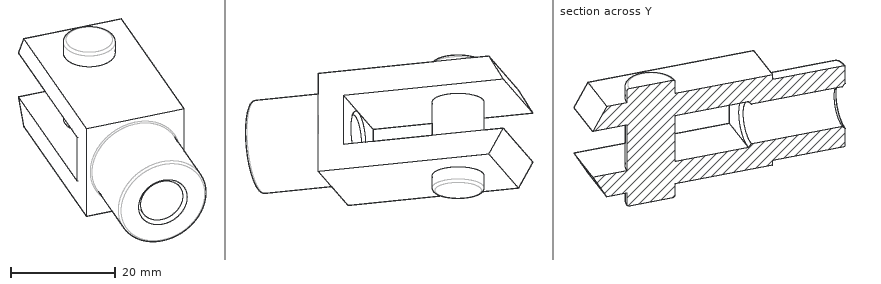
import cadquery as cq
import math

total_length = 52.0
fork_length = 37.0
fork_width = 20.0
slot_height = 10.0
slot_depth = 32.0
tip_angle = 30.0

shank_diameter = 18.0
shank_end_fillet = 0.4
shank_root_fillet = 0.25

bore_diameter = 8.7
bore_mouth_diameter = slot_height

pin_diameter = 10.0
pin_length = 26.0
pin_x = 12.0
pin_end_fillet = 0.5


def make_fork():
    half_width = fork_width / 2
    half_slot = slot_height / 2
    tip_setback = (half_width - half_slot) * math.tan(math.radians(tip_angle))
    profile = [
        (0, half_slot),
        (tip_setback, half_width),
        (fork_length, half_width),
        (fork_length, -half_width),
        (tip_setback, -half_width),
        (0, -half_slot),
        (slot_depth, -half_slot),
        (slot_depth, half_slot),
    ]
    return cq.Workplane("XZ").polyline(profile).close().extrude(half_width, both=True)


def make_shank():
    shank_length = total_length - fork_length
    shank = cq.Workplane("YZ", origin=(fork_length, 0, 0)).circle(shank_diameter / 2).extrude(shank_length)
    return shank.faces(">X").edges().fillet(shank_end_fillet)


def make_clevis():
    """Fork and shank with a concave fillet in the corner between them."""
    clevis = make_fork().union(make_shank())
    root_edge = cq.selectors.NearestToPointSelector((fork_length, 0, 0))
    return clevis.edges("%CIRCLE").edges(root_edge).fillet(shank_root_fillet)


def make_bore():
    """Through bore along the shank, with a 45 degree countersink at each mouth."""
    bore_radius = bore_diameter / 2
    mouth_radius = bore_mouth_diameter / 2
    countersink = mouth_radius - bore_radius
    profile = [
        (slot_depth, 0),
        (slot_depth, mouth_radius),
        (slot_depth + countersink, bore_radius),
        (total_length - countersink, bore_radius),
        (total_length, mouth_radius),
        (total_length, 0),
    ]
    return cq.Workplane("XY").polyline(profile).close().revolve(360, (0, 0, 0), (1, 0, 0))


def make_pin():
    pin = cq.Workplane("XY", origin=(pin_x, 0, -pin_length / 2)).circle(pin_diameter / 2).extrude(pin_length)
    return pin.edges("%CIRCLE").fillet(pin_end_fillet)


result = make_clevis().cut(make_bore()).union(make_pin())